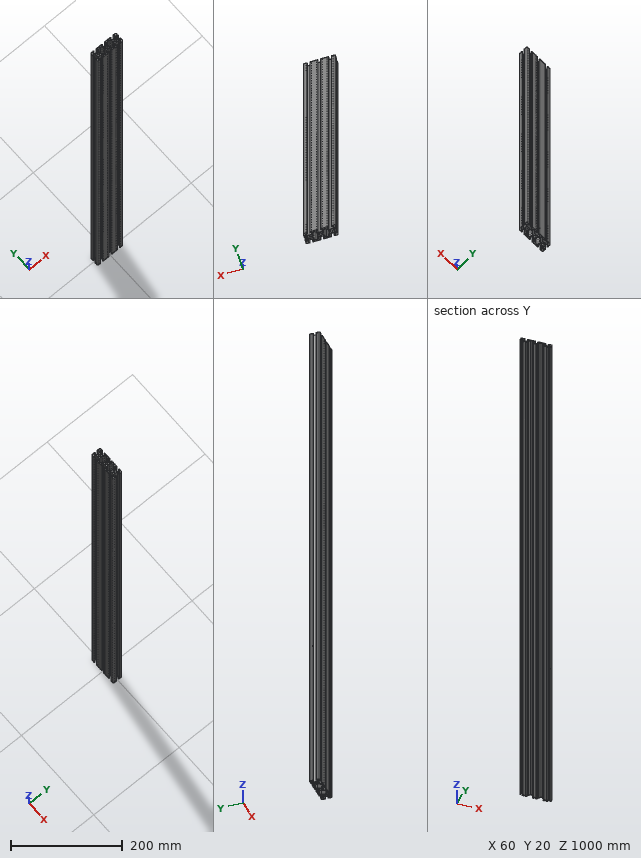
import cadquery as cq
import math

module_size = 20.0
module_count = 3
length = 1000.0
corner_radius = 2.0
bore_diameter = 4.3

throat_half_width = 2.5
lip_radius = 0.9
lip_thickness = 1.8
chamber_half_width = 5.5
chamber_wall_height = 1.5
floor_half_width = 4.0
floor_height = 4.5
floor_dip = 0.2

hollow_half_width = 6.0
hollow_half_height = 7.7
hollow_side_half_height = 2.0
hollow_top_half_width = 1.5

half_module = module_size / 2
bar_width = module_size * module_count
first_center = (module_size - bar_width) / 2
module_centers = [first_center + i * module_size for i in range(module_count)]


def slot_cutter():
    """T-slot along the bar, open towards +Y, with rounded lips and a shallow V floor."""
    lip_underside = half_module - lip_thickness
    mouth_half_width = throat_half_width + lip_radius
    arc_inset = lip_radius * (1 - math.sqrt(0.5))
    arc_middle = (throat_half_width + arc_inset, half_module - arc_inset)
    return (
        cq.Workplane("XY")
        .moveTo(0, floor_height - floor_dip)
        .lineTo(floor_half_width, floor_height)
        .lineTo(chamber_half_width, lip_underside - chamber_wall_height)
        .lineTo(chamber_half_width, lip_underside)
        .lineTo(throat_half_width, lip_underside)
        .lineTo(throat_half_width, half_module - lip_radius)
        .threePointArc(arc_middle, (mouth_half_width, half_module))
        .lineTo(0, half_module)
        .mirrorY()
        .extrude(length)
    )


def cut_slot(bar, center_x, angle):
    """Cut one slot into the module at center_x; angle turns its opening from +Y."""
    slot = slot_cutter().rotate((0, 0, 0), (0, 0, 1), angle)
    return bar.cut(slot.translate((center_x, 0, 0)))


def cut_hollow(bar, center_x):
    """Cut the six-sided channel on the boundary between two modules."""
    hollow = (
        cq.Workplane("XY")
        .moveTo(0, -hollow_half_height)
        .lineTo(hollow_top_half_width, -hollow_half_height)
        .lineTo(hollow_half_width, -hollow_side_half_height)
        .lineTo(hollow_half_width, hollow_side_half_height)
        .lineTo(hollow_top_half_width, hollow_half_height)
        .lineTo(0, hollow_half_height)
        .mirrorY()
        .extrude(length)
    )
    return bar.cut(hollow.translate((center_x, 0, 0)))


result = cq.Workplane("XY").rect(bar_width, module_size).extrude(length)
result = result.edges("|Z").fillet(corner_radius)

for center in module_centers:
    result = cut_slot(result, center, 0)
    result = cut_slot(result, center, 180)
result = cut_slot(result, module_centers[0], 90)
result = cut_slot(result, module_centers[-1], -90)

for center in module_centers[:-1]:
    result = cut_hollow(result, center + half_module)

bore_points = [(center, 0) for center in module_centers]
bores = cq.Workplane("XY").pushPoints(bore_points).circle(bore_diameter / 2).extrude(length)
result = result.cut(bores)